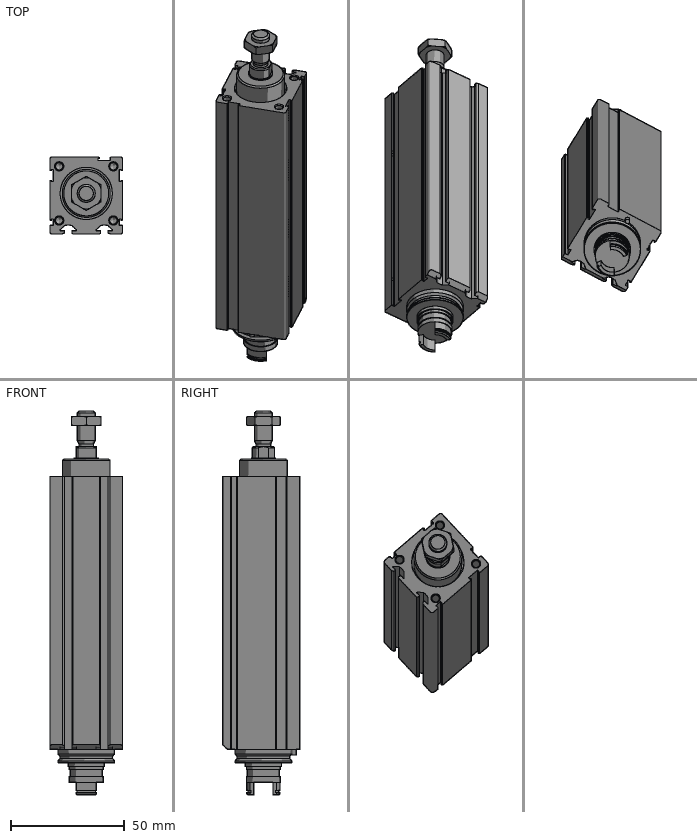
import cadquery as cq
import math


WIDTH = 32.0
HALF_WIDTH = WIDTH / 2
FRONT_FACE_Y = -17.9
LENGTH = 120.0
CORNER_RADIUS = 1.0
REAR_CHAMFER = 2.0

T_SLOT_X = 8.0
T_SLOT_OPENING = 3.2
T_SLOT_INNER_WIDTH = 7.1
T_SLOT_LIP = 1.5
T_SLOT_SIDE_WALL = 0.3
T_SLOT_DEPTH = 3.9
T_SLOT_CEILING_WIDTH = 1.0
T_SLOT_KNEE_WIDTH = 3.2
T_SLOT_KNEE_DEPTH = 3.7
T_SLOT_MOUTH_HEIGHT = 0.5
T_SLOT_INNER_MOUTH = 0.5
T_SLOT_OUTER_MOUTH = 1.0

GROOVE_DEPTH = 1.5
GROOVE_LIP = 0.7
GROOVE_UNDERCUT = 0.5
GROOVE_BEVEL = 0.3
UPPER_GROOVE_START = 5.7
UPPER_GROOVE_END = 10.0
LOWER_GROOVE_START = -14.0
LOWER_GROOVE_END = -11.8
BACK_GROOVE_START = 5.7
BACK_GROOVE_END = 10.5

SCREW_SPACING = 23.8
SCREW_DIAMETER = 3.2
SCREW_MOUTH_DIAMETER = 4.0
SCREW_HOLE_DEPTH = 11.8
DRILL_POINT_ANGLE = 118.0

RECESS_DIAMETER = 23.0
RECESS_DEPTH = 3.4
COLLAR_DIAMETER = 21.1
COLLAR_HEIGHT = 7.6
COLLAR_CHAMFER = 0.7
WIPER_DIAMETER = 10.6
WIPER_HEIGHT = 0.5

ROD_DIAMETER = 10.0
ROD_FLATS = 9.0
ROD_EXPOSED = 13.0
ROD_SHOULDER_CHAMFER = 0.5
RELIEF_DIAMETER = 6.5
RELIEF_HEIGHT = 1.2
RELIEF_CONE_HEIGHT = 1.5
THREAD_DIAMETER = 8.0
ROD_END_Z = 148.7
THREAD_CHAMFER = 0.8

NUT_FLATS = 13.0
NUT_HEIGHT = 4.0
NUT_Z = 142.3
NUT_CHAMFER_HEIGHT = 0.3
NUT_CHAMFER_DEPTH = 0.7

FLANGE_DIAMETER = 25.0
FLANGE_THICKNESS = 6.0
RIM_GROOVE_DIAMETER = 23.3
RIM_GROOVE_TOP = 2.0
RIM_GROOVE_FLOOR_START = 3.0
RIM_GROOVE_FLOOR_END = 4.0
RIM_GROOVE_BOTTOM = 5.0
RIM_CHAMFER = 0.2

HUB_DIAMETER = 16.0
HUB_BOTTOM = 7.6
STEP_DIAMETER = 15.0
STEP_BOTTOM = 9.0
NECK_DIAMETER = 14.2
NECK_BOTTOM = 12.0
RING_BOTTOM = 14.5
COUPLING_BOTTOM = 20.1
CLAW_WIDTH = 9.0
CLAW_OUTER_DIAMETER = 14.7
CLAW_INNER_DIAMETER = 10.6
CLAW_GROOVE_TOP = 18.0
CLAW_GROOVE_BOTTOM = 19.0
CLAW_GROOVE_DEPTH = 0.5
CLAW_CHAMFER = 0.5

PIN_DIAMETER = 2.0
PIN_Y = 13.5
PIN_PROJECTION = 2.5
PIN_SEAT_DEPTH = 3.4

RECESS_FLOOR_Z = LENGTH - RECESS_DEPTH


def cylinder(diameter, bottom, top):
    """Cylinder on the rod axis between two heights."""
    return cq.Workplane("XY", origin=(0, 0, bottom)).circle(diameter / 2).extrude(top - bottom)


def turned(profile):
    """Solid of revolution about Z from (radius, z) points."""
    return cq.Workplane("XZ").polyline(profile).close().revolve(360, (0, 0, 0), (0, 1, 0))


def pin_cylinder():
    """Locating pin, which is also the shape of its seat."""
    return (
        cq.Workplane("XY", origin=(0, PIN_Y, -PIN_PROJECTION))
        .circle(PIN_DIAMETER / 2)
        .extrude(PIN_PROJECTION + PIN_SEAT_DEPTH)
    )


def t_slot():
    """Cutter for the right-hand T-slot; the left-hand one is its mirror image."""
    half_opening = T_SLOT_OPENING / 2
    half_inner = T_SLOT_INNER_WIDTH / 2
    half_knee = T_SLOT_KNEE_WIDTH / 2
    half_ceiling = T_SLOT_CEILING_WIDTH / 2
    return (
        cq.Workplane("XY", origin=(T_SLOT_X, FRONT_FACE_Y, 0))
        .polyline([
            (-half_opening - T_SLOT_INNER_MOUTH, 0),
            (-half_opening, T_SLOT_MOUTH_HEIGHT),
            (-half_opening, T_SLOT_LIP),
            (-half_inner, T_SLOT_LIP),
            (-half_inner, T_SLOT_LIP + T_SLOT_SIDE_WALL),
            (-half_knee, T_SLOT_KNEE_DEPTH),
            (-half_ceiling, T_SLOT_DEPTH),
            (half_ceiling, T_SLOT_DEPTH),
            (half_knee, T_SLOT_KNEE_DEPTH),
            (half_inner, T_SLOT_LIP + T_SLOT_SIDE_WALL),
            (half_inner, T_SLOT_LIP),
            (half_opening, T_SLOT_LIP),
            (half_opening, T_SLOT_MOUTH_HEIGHT),
            (half_opening + T_SLOT_OUTER_MOUTH, 0),
        ])
        .close()
        .extrude(LENGTH)
    )


def groove(start, end, start_undercut, end_undercut):
    """Groove cutter for the back face, between two X positions, with a beveled mouth."""
    floor_y = HALF_WIDTH - GROOVE_DEPTH
    lip_y = HALF_WIDTH - GROOVE_LIP
    bevel_y = HALF_WIDTH - GROOVE_BEVEL
    mouth = cq.Workplane("XY").polyline([
        (start, floor_y),
        (start, bevel_y),
        (start - GROOVE_BEVEL, HALF_WIDTH),
        (end + GROOVE_BEVEL, HALF_WIDTH),
        (end, bevel_y),
        (end, floor_y),
    ]).close().extrude(LENGTH)
    undercut = cq.Workplane("XY").polyline([
        (start - start_undercut, floor_y),
        (start - start_undercut, lip_y),
        (end + end_undercut, lip_y),
        (end + end_undercut, floor_y),
    ]).close().extrude(LENGTH)
    return mouth.union(undercut)


def left_grooves():
    """Cutter for both grooves of the left (-X) side."""
    upper = groove(UPPER_GROOVE_START, UPPER_GROOVE_END, GROOVE_UNDERCUT, GROOVE_UNDERCUT)
    lower = groove(LOWER_GROOVE_START, LOWER_GROOVE_END, 0, GROOVE_UNDERCUT)
    return upper.union(lower).rotate((0, 0, 0), (0, 0, 1), 90)


def screw_hole():
    """Cutter for one threaded hole with chamfered mouth, on the Z axis."""
    radius = SCREW_DIAMETER / 2
    mouth_radius = SCREW_MOUTH_DIAMETER / 2
    floor_z = LENGTH - SCREW_HOLE_DEPTH
    tip_height = radius / math.tan(math.radians(DRILL_POINT_ANGLE / 2))
    return turned([
        (0, LENGTH),
        (mouth_radius, LENGTH),
        (radius, LENGTH - (mouth_radius - radius)),
        (radius, floor_z),
        (0, floor_z - tip_height),
    ])


def make_housing():
    center_y = (HALF_WIDTH + FRONT_FACE_Y) / 2
    body = (
        cq.Workplane("XY", origin=(0, center_y, 0))
        .rect(WIDTH, HALF_WIDTH - FRONT_FACE_Y)
        .extrude(LENGTH)
        .edges("|Z")
        .fillet(CORNER_RADIUS)
    )
    side_cutters = t_slot().union(left_grooves().mirror("YZ"))
    back_groove = groove(BACK_GROOVE_START, BACK_GROOVE_END, GROOVE_UNDERCUT, 0)
    body = body.cut(side_cutters).cut(side_cutters.mirror("YZ")).cut(back_groove)

    hole = screw_hole()
    for side_x in (-1, 1):
        for side_y in (-1, 1):
            body = body.cut(hole.translate((side_x * SCREW_SPACING / 2, side_y * SCREW_SPACING / 2, 0)))

    rear_wedge = (
        cq.Workplane("YZ")
        .polyline([
            (FRONT_FACE_Y, 0),
            (FRONT_FACE_Y + REAR_CHAMFER, 0),
            (FRONT_FACE_Y, REAR_CHAMFER),
        ])
        .close()
        .extrude(HALF_WIDTH, both=True)
    )
    recess = cylinder(RECESS_DIAMETER, RECESS_FLOOR_Z, LENGTH)
    return body.cut(rear_wedge).cut(recess).cut(pin_cylinder())


def rod_shank():
    """Thick part of the rod with its two flats."""
    shoulder_z = LENGTH + ROD_EXPOSED
    length = shoulder_z - RECESS_FLOOR_Z
    between_flats = (
        cq.Workplane("XY", origin=(0, 0, RECESS_FLOOR_Z)).rect(ROD_FLATS, ROD_DIAMETER).extrude(length)
    )
    round_rod = cylinder(ROD_DIAMETER, RECESS_FLOOR_Z, shoulder_z)
    return round_rod.faces(">Z").edges().chamfer(ROD_SHOULDER_CHAMFER).intersect(between_flats)


def make_collar():
    top_z = LENGTH + COLLAR_HEIGHT
    ring = cylinder(COLLAR_DIAMETER, RECESS_FLOOR_Z, top_z).faces(">Z").edges().chamfer(COLLAR_CHAMFER)
    wiper = cylinder(WIPER_DIAMETER, top_z, top_z + WIPER_HEIGHT)
    return ring.union(wiper).cut(rod_shank())


def make_rod():
    shoulder_z = LENGTH + ROD_EXPOSED
    relief_top_z = shoulder_z + RELIEF_HEIGHT
    thread_z = relief_top_z + RELIEF_CONE_HEIGHT
    thread_radius = THREAD_DIAMETER / 2
    relief_radius = RELIEF_DIAMETER / 2
    stud = turned([
        (0, shoulder_z),
        (relief_radius, shoulder_z),
        (relief_radius, relief_top_z),
        (thread_radius, thread_z),
        (thread_radius, ROD_END_Z - THREAD_CHAMFER),
        (thread_radius - THREAD_CHAMFER, ROD_END_Z),
        (0, ROD_END_Z),
    ])
    return rod_shank().union(stud)


def make_nut():
    """Hexagon with flats facing +X and -X and corners rounded off by a turned chamfer."""
    corner_diameter = NUT_FLATS / math.cos(math.radians(30))
    hexagon = (
        cq.Workplane("XY", origin=(0, 0, NUT_Z))
        .polygon(6, corner_diameter)
        .extrude(NUT_HEIGHT)
        .rotate((0, 0, 0), (0, 0, 1), 30)
    )
    corner_radius = corner_diameter / 2
    face_radius = corner_radius - NUT_CHAMFER_DEPTH
    top_z = NUT_Z + NUT_HEIGHT
    turned_blank = turned([
        (0, NUT_Z),
        (face_radius, NUT_Z),
        (corner_radius, NUT_Z + NUT_CHAMFER_HEIGHT),
        (corner_radius, top_z - NUT_CHAMFER_HEIGHT),
        (face_radius, top_z),
        (0, top_z),
    ])
    thread = cylinder(THREAD_DIAMETER, NUT_Z, top_z)
    return hexagon.intersect(turned_blank).cut(thread)


def make_flange():
    rim_radius = FLANGE_DIAMETER / 2
    groove_radius = RIM_GROOVE_DIAMETER / 2
    return turned([
        (0, 0),
        (rim_radius, 0),
        (rim_radius, -RIM_GROOVE_TOP),
        (groove_radius, -RIM_GROOVE_FLOOR_START),
        (groove_radius, -RIM_GROOVE_FLOOR_END),
        (rim_radius, -RIM_GROOVE_BOTTOM),
        (rim_radius, -FLANGE_THICKNESS + RIM_CHAMFER),
        (rim_radius - RIM_CHAMFER, -FLANGE_THICKNESS),
        (0, -FLANGE_THICKNESS),
    ])


def claws():
    """Both claws: a grooved and chamfered tube, of which two radial sectors remain."""
    outer_radius = CLAW_OUTER_DIAMETER / 2
    inner_radius = CLAW_INNER_DIAMETER / 2
    groove_radius = outer_radius - CLAW_GROOVE_DEPTH
    tube = turned([
        (inner_radius, -RING_BOTTOM),
        (outer_radius, -RING_BOTTOM),
        (outer_radius, -CLAW_GROOVE_TOP),
        (groove_radius, -CLAW_GROOVE_TOP),
        (groove_radius, -CLAW_GROOVE_BOTTOM),
        (outer_radius, -CLAW_GROOVE_BOTTOM),
        (outer_radius, -COUPLING_BOTTOM + CLAW_CHAMFER),
        (outer_radius - CLAW_CHAMFER, -COUPLING_BOTTOM),
        (inner_radius, -COUPLING_BOTTOM),
    ])
    corner_angle = math.asin(CLAW_WIDTH / CLAW_OUTER_DIAMETER)
    wedge_half_width = outer_radius * math.tan(corner_angle)
    wedge = (
        cq.Workplane("XY", origin=(0, 0, -COUPLING_BOTTOM))
        .polyline([(0, 0), (wedge_half_width, outer_radius), (-wedge_half_width, outer_radius)])
        .close()
        .extrude(COUPLING_BOTTOM - RING_BOTTOM)
    )
    claw = tube.intersect(wedge)
    return claw.union(claw.mirror("XZ"))


def make_coupling():
    hub = (
        cylinder(HUB_DIAMETER, -HUB_BOTTOM, -FLANGE_THICKNESS)
        .union(cylinder(STEP_DIAMETER, -STEP_BOTTOM, -HUB_BOTTOM))
        .union(cylinder(NECK_DIAMETER, -NECK_BOTTOM, -STEP_BOTTOM))
        .union(cylinder(STEP_DIAMETER, -RING_BOTTOM, -NECK_BOTTOM))
    )
    return hub.union(claws())


housing = make_housing()
collar = make_collar()
rod = make_rod()
nut = make_nut()
flange = make_flange()
coupling = make_coupling()
locating_pin = pin_cylinder()

result = cq.Compound.makeCompound([
    housing.val(),
    collar.val(),
    rod.val(),
    nut.val(),
    flange.val(),
    coupling.val(),
    locating_pin.val(),
])